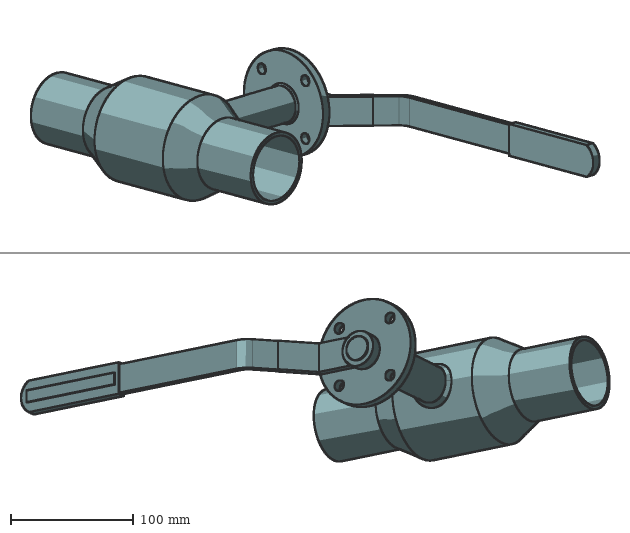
import cadquery as cq
import math


pipe_length = 249.5
pipe_radius = 60.5 / 2
bore_radius = 54.5 / 2
shell_radius = 89.0 / 2
shell_half_length = 38.8
inlet_cone_length = 27.0
outlet_cone_length = 25.5
stem_x = pipe_length / 2

stem_radius = 31.0 / 2
stem_weld = 3.5
flange_radius = 90.0 / 2
flange_thickness = 7.5
flange_top = 146.0
flange_bottom = flange_top - flange_thickness
flange_weld = 1.5
bolt_circle_radius = 70.0 / 2
bolt_hole_diameter = 9.0
bolt_hole_count = 4

hub_radius = 30.0 / 2
hub_height = 10.2
boss_radius = 20.5 / 2
boss_height = 1.3

arm_width = 24.5
lower_arm_thickness = 6.5
upper_arm_thickness = 5.0
lower_arm_y = 150.5
upper_arm_y = 194.9
crank_angle = 45.0
lower_bend_x = 165.7
step_x = 191.0
upper_bend_radius = 15.0

lever_end_x = 426.0
grip_start_x = 330.5
grip_width = 27.3
grip_thickness = 7.5
grip_nose = 7.5
label_start_x = 334.5
label_end_x = 419.5
label_width = 10.2
label_height = 1.3


def make_shell():
    """Outer form of the pipe and its bulged middle, turned about X."""
    shell_start = stem_x - shell_half_length
    shell_end = stem_x + shell_half_length
    outline = [
        (0, 0),
        (0, pipe_radius),
        (shell_start - inlet_cone_length, pipe_radius),
        (shell_start, shell_radius),
        (shell_end, shell_radius),
        (shell_end + outlet_cone_length, pipe_radius),
        (pipe_length, pipe_radius),
        (pipe_length, 0),
    ]
    return cq.Workplane("XY").polyline(outline).close().revolve(360, (0, 0, 0), (1, 0, 0))


def make_stem():
    """Plain round stem from the pipe axis up to the flange."""
    return (
        cq.Workplane("XZ", origin=(stem_x, 0, 0))
        .circle(stem_radius)
        .extrude(-flange_bottom)
    )


def make_flange():
    """Round flange with a small conical weld beneath it and its bolt holes."""
    outline = [
        (0, flange_bottom - flange_weld),
        (stem_radius, flange_bottom - flange_weld),
        (stem_radius + flange_weld, flange_bottom),
        (flange_radius, flange_bottom),
        (flange_radius, flange_top),
        (0, flange_top),
    ]
    disc = (
        cq.Workplane("XY", origin=(stem_x, 0, 0))
        .polyline(outline)
        .close()
        .revolve(360, (0, 0, 0), (0, 1, 0))
    )
    first_hole_angle = 180 / bolt_hole_count
    bolt_holes = (
        cq.Workplane("XZ", origin=(stem_x, flange_bottom, 0))
        .polarArray(bolt_circle_radius, first_hole_angle, 360, bolt_hole_count)
        .circle(bolt_hole_diameter / 2)
        .extrude(-flange_thickness)
    )
    return disc.cut(bolt_holes)


def make_housing():
    body = make_shell().union(make_stem())
    stem_foot = cq.selectors.BoxSelector(
        (stem_x - stem_radius, 0, -stem_radius),
        (stem_x + stem_radius, shell_radius + stem_weld, stem_radius),
    )
    body = body.edges(stem_foot).chamfer(stem_weld)
    body = body.union(make_flange())
    bore = cq.Workplane("YZ").circle(bore_radius).extrude(pipe_length)
    return body.cut(bore)


def make_hub():
    """Round hub resting on the flange, with a low boss on top."""
    hub = (
        cq.Workplane("XZ", origin=(stem_x, flange_top, 0))
        .circle(hub_radius)
        .extrude(-hub_height)
    )
    boss = (
        cq.Workplane("XZ", origin=(stem_x, flange_top + hub_height, 0))
        .circle(boss_radius)
        .extrude(-boss_height)
    )
    return hub.union(boss)


def make_arm():
    """Flat bar cranked upward, thicker in its lower stretch."""
    slope = math.radians(crank_angle)
    step_y = lower_arm_y + (step_x - lower_bend_x) * math.tan(slope)
    lower_path = cq.Workplane("XY").polyline(
        [(stem_x, lower_arm_y), (lower_bend_x, lower_arm_y), (step_x, step_y)]
    )
    lower_arm = (
        cq.Workplane("YZ", origin=(stem_x, lower_arm_y, 0))
        .rect(lower_arm_thickness, arm_width)
        .sweep(lower_path, transition="right")
    )

    upper_bend_x = lower_bend_x + (upper_arm_y - lower_arm_y) / math.tan(slope)
    tangent_length = upper_bend_radius * math.tan(slope / 2)
    arc_start = (
        upper_bend_x - tangent_length * math.cos(slope),
        upper_arm_y - tangent_length * math.sin(slope),
    )
    arc_end = (upper_bend_x + tangent_length, upper_arm_y)
    upper_path = (
        cq.Workplane("XY")
        .moveTo(step_x, step_y)
        .lineTo(*arc_start)
        .tangentArcPoint(arc_end, relative=False)
        .lineTo(grip_start_x, upper_arm_y)
    )
    slope_plane = cq.Plane(
        origin=(step_x, step_y, 0),
        xDir=(-math.sin(slope), math.cos(slope), 0),
        normal=(math.cos(slope), math.sin(slope), 0),
    )
    upper_arm = (
        cq.Workplane(slope_plane)
        .rect(upper_arm_thickness, arm_width)
        .sweep(upper_path)
    )
    return lower_arm.union(upper_arm)


def make_grip():
    """Grip with a rounded end and a thin raised label strip on its top face."""
    half_width = grip_width / 2
    nose_start_x = lever_end_x - grip_nose
    grip_bottom = upper_arm_y - grip_thickness / 2
    grip_top = upper_arm_y + grip_thickness / 2
    grip = (
        cq.Workplane("XZ", origin=(0, grip_bottom, 0))
        .moveTo(grip_start_x, -half_width)
        .lineTo(nose_start_x, -half_width)
        .threePointArc((lever_end_x, 0), (nose_start_x, half_width))
        .lineTo(grip_start_x, half_width)
        .close()
        .extrude(-grip_thickness)
    )
    label = (
        cq.Workplane("XZ", origin=((label_start_x + label_end_x) / 2, grip_top, 0))
        .rect(label_end_x - label_start_x, label_width)
        .extrude(-label_height)
    )
    return grip.union(label)


def make_lever():
    return make_hub().union(make_arm()).union(make_grip())


housing = make_housing()
lever = make_lever()

result = cq.Compound.makeCompound([housing.solids().val(), lever.solids().val()])